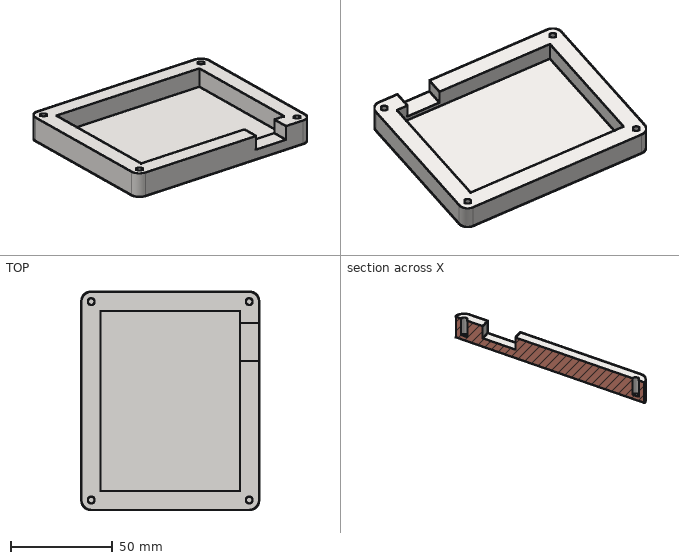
import cadquery as cq

width = 88.0
length = 108.0
height = 13.0
corner_radius = 5.0

wall = 9.5
cavity_depth = 10.0
cavity_width = width - 2 * wall
cavity_length = length - 2 * wall

notch_depth = 7.5
notch_width = 18.6
notch_end_distance = 15.7

hole_diameter = 3.3
hole_depth = cavity_depth
hole_spacing_x = width - 2 * corner_radius
hole_spacing_y = length - 2 * corner_radius


def make_body():
    """Solid block on Z = 0 with rounded vertical corners."""
    block = cq.Workplane("XY").box(width, length, height, centered=(True, True, False))
    return block.edges("|Z").fillet(corner_radius)


def make_cavity():
    """Volume of the central cavity."""
    return (
        cq.Workplane("XY", origin=(0, 0, height - cavity_depth))
        .rect(cavity_width, cavity_length)
        .extrude(cavity_depth)
    )


def make_notch():
    """Volume that opens the cavity through the +X wall."""
    center_x = (width - wall) / 2
    center_y = length / 2 - notch_end_distance - notch_width / 2
    return (
        cq.Workplane("XY", origin=(center_x, center_y, height - notch_depth))
        .rect(wall, notch_width)
        .extrude(notch_depth)
    )


def make_screw_holes():
    """Volumes of the four corner holes."""
    return (
        cq.Workplane("XY", origin=(0, 0, height - hole_depth))
        .rect(hole_spacing_x, hole_spacing_y, forConstruction=True)
        .vertices()
        .circle(hole_diameter / 2)
        .extrude(hole_depth)
    )


result = make_body().cut(make_cavity()).cut(make_notch()).cut(make_screw_holes())